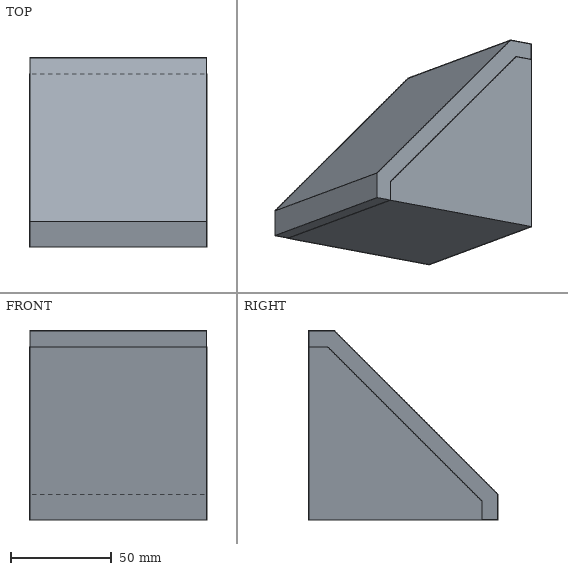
import cadquery as cq
import math

width = 88.0
leg = 94.0
rim_thickness = 8.0
rim_flat = 12.8
rim_recess = 0.1

core_leg = leg - rim_thickness
core_flat = leg + rim_flat - rim_thickness * math.sqrt(2) - core_leg


def wedge(recess, tip, flat):
    """Blunted 45 degree wedge with its right-angle faces and sides set in by recess."""
    outline = [
        (recess, recess),
        (tip, recess),
        (tip, flat),
        (flat, tip),
        (recess, tip),
    ]
    start = cq.Workplane("YZ").workplane(offset=recess)
    return start.polyline(outline).close().extrude(width - 2 * recess)


core = wedge(0, core_leg, core_flat)
rim = wedge(rim_recess, leg, rim_flat)

result = core.union(rim)